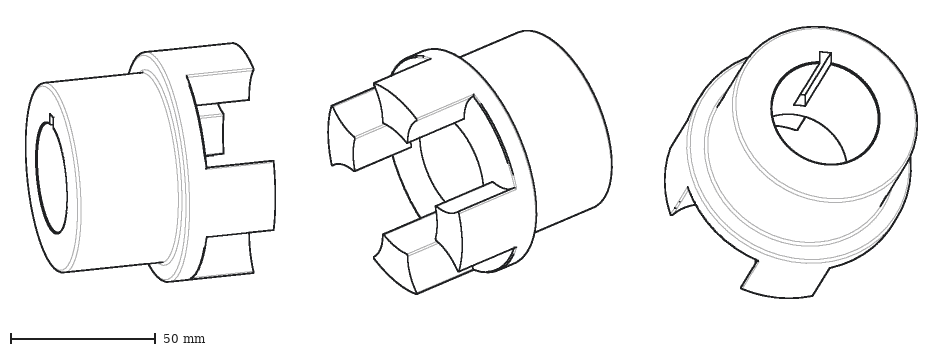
import cadquery as cq
import math

hub_length = 37.0
flange_thickness = 8.0
jaw_length = 24.0
flange_end = hub_length + flange_thickness
total_length = flange_end + jaw_length

flange_radius = 40.0
hub_radius = 33.0
bore_radius = 19.0
jaw_inner_radius = 25.0

key_width = 4.0
key_length = hub_length
key_top = 23.1

jaw_count = 4
gap_radius = 17.3
gap_center_radius = 35.0

hub_round = 1.0
bore_chamfer = 0.4
gap_edge_round = 0.5


def cylinder(radius, start, length, x=0.0, z=0.0):
    """Solid cylinder along +Y that starts at y = start."""
    axis = cq.Vector(0, 1, 0)
    return cq.Workplane(cq.Solid.makeCylinder(radius, length, cq.Vector(x, start, z), axis))


def turned_body():
    """Hub and flange with their rounded edges and the hollow inside the jaws."""
    hub = cylinder(hub_radius, 0, hub_length)
    flange = cylinder(flange_radius, hub_length, total_length - hub_length)
    body = hub.union(flange)
    body = body.faces("<Y").edges().fillet(hub_round)
    shoulder = body.faces("|Y").faces(cq.selectors.CenterNthSelector(cq.Vector(0, 1, 0), 1))
    body = shoulder.edges().fillet(hub_round)
    return body.cut(cylinder(jaw_inner_radius, flange_end, jaw_length))


def cut_jaw_gaps(body):
    """Cut the gaps midway between the X and Z axes, leaving one jaw on each half axis."""
    pitch = 2 * math.pi / jaw_count
    for index in range(jaw_count):
        angle = (index + 0.5) * pitch
        x = gap_center_radius * math.cos(angle)
        z = gap_center_radius * math.sin(angle)
        body = body.cut(cylinder(gap_radius, flange_end, jaw_length, x, z))
    return body


def is_jaw_corner(edge):
    """True for the straight axial edges where a gap wall meets the rim or the jaw hollow."""
    return edge.geomType() == "LINE" and math.isclose(edge.Length(), jaw_length, rel_tol=1e-4)


def is_gap_floor_rim(edge):
    """True for the arcs where a gap floor meets the outer rim."""
    middle = edge.positionAt(0.5)
    on_rim = math.isclose(math.hypot(middle.x, middle.z), flange_radius, rel_tol=1e-4)
    on_floor = math.isclose(middle.y, flange_end, rel_tol=1e-4)
    return on_rim and on_floor


def round_gap_edges(body):
    """Round the corners of the jaws and the rim of the gap floors."""
    edges = body.edges().filter(lambda edge: is_jaw_corner(edge) or is_gap_floor_rim(edge))
    return edges.fillet(gap_edge_round)


def cut_bore(body):
    """Through bore with a chamfered mouth at the hub end and a keyway along the hub."""
    body = body.cut(cylinder(bore_radius, 0, total_length))
    bore_mouth = body.faces("<Y").edges(cq.selectors.RadiusNthSelector(0))
    body = bore_mouth.chamfer(bore_chamfer)
    keyway = cq.Workplane("XY").box(key_width, key_length, key_top, centered=(True, False, False))
    return body.cut(keyway)


coupling = turned_body()
coupling = cut_jaw_gaps(coupling)
coupling = round_gap_edges(coupling)
result = cq.Workplane(cut_bore(coupling).solids().val())